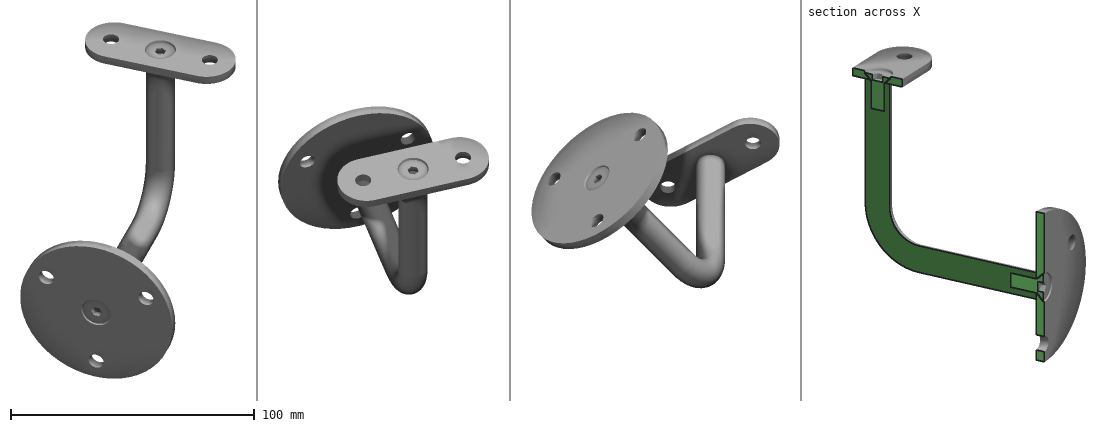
import cadquery as cq
import math


disc_thickness = 4.0
saddle_thickness = 3.7
disc_diameter = 66.0
saddle_length = 64.0
saddle_width = 24.0

overall_depth = 92.0
overall_height = 111.2
upright_y = overall_depth - saddle_width / 2
saddle_top_z = overall_height - disc_diameter / 2

rod_diameter = 12.0
bend_radius = 19.9

fixing_diameter = 6.6
disc_fixing_radius = 25.0
disc_fixing_count = 3
disc_first_angle = 30.0
saddle_fixing_offset = 21.5

countersink_diameter = 12.7
head_diameter = 12.0
shank_diameter = 6.0
screw_length = 16.0
hex_across_flats = 4.0
hex_depth = 2.5
disc_head_recess = 0.6
saddle_head_recess = 0.9
cone_height = (head_diameter - shank_diameter) / 2

disc_plane = cq.Plane(origin=(0, 0, 0), xDir=(1, 0, 0), normal=(0, -1, 0))
saddle_plane = cq.Plane(origin=(0, upright_y, saddle_top_z), xDir=(0, 1, 0), normal=(0, 0, 1))
screw_seats = [(disc_plane, disc_head_recess), (saddle_plane, saddle_head_recess)]


def make_screw_space(plane, head_recess):
    """Tapered recess, countersink and shank bore, from the plate's outer face down to the screw tip."""
    profile = (
        cq.Workplane("XZ")
        .lineTo(countersink_diameter / 2, 0)
        .lineTo(head_diameter / 2, -head_recess)
        .lineTo(shank_diameter / 2, -head_recess - cone_height)
        .lineTo(shank_diameter / 2, -screw_length)
        .lineTo(0, -screw_length)
        .close()
    )
    space = profile.revolve(360, (0, 0, 0), (0, 1, 0)).val()
    return cq.Workplane(obj=space.moved(cq.Location(plane)))


def make_screw(plane, head_recess):
    """Countersunk screw with a hexagon socket in its recessed head."""
    recess = cq.Workplane(plane).circle(countersink_diameter / 2).extrude(-head_recess)
    hex_across_corners = hex_across_flats / math.cos(math.radians(30))
    socket = (
        cq.Workplane(plane)
        .workplane(offset=-head_recess)
        .polygon(6, hex_across_corners)
        .extrude(-hex_depth)
    )
    return make_screw_space(plane, head_recess).cut(recess).cut(socket)


def make_wall_disc():
    """Round wall plate with a ring of fixing holes."""
    disc = cq.Workplane(disc_plane).circle(disc_diameter / 2).extrude(-disc_thickness)
    fixings = (
        cq.Workplane(disc_plane)
        .polarArray(disc_fixing_radius, disc_first_angle, 360, disc_fixing_count)
        .circle(fixing_diameter / 2)
        .extrude(-disc_thickness)
    )
    return disc.cut(fixings).cut(make_screw_space(disc_plane, disc_head_recess))


def make_saddle():
    """Round-ended plate with a fixing hole near each end."""
    saddle = (
        cq.Workplane(saddle_plane)
        .slot2D(saddle_length, saddle_width, 90)
        .extrude(-saddle_thickness)
    )
    fixings = (
        cq.Workplane(saddle_plane)
        .pushPoints([(0, -saddle_fixing_offset), (0, saddle_fixing_offset)])
        .circle(fixing_diameter / 2)
        .extrude(-saddle_thickness)
    )
    return saddle.cut(fixings).cut(make_screw_space(saddle_plane, saddle_head_recess))


def make_rod():
    """Round rod with one right-angle bend and a screw hole in each end."""
    bend_start_y = upright_y - bend_radius
    path = (
        cq.Workplane("YZ")
        .moveTo(disc_thickness, 0)
        .lineTo(bend_start_y, 0)
        .tangentArcPoint((upright_y, bend_radius), relative=False)
        .lineTo(upright_y, saddle_top_z - saddle_thickness)
    )
    rod = (
        cq.Workplane("XZ", origin=(0, disc_thickness, 0))
        .circle(rod_diameter / 2)
        .sweep(path)
    )
    for plane, head_recess in screw_seats:
        rod = rod.cut(make_screw_space(plane, head_recess))
    return rod


wall_disc = make_wall_disc()
saddle = make_saddle()
rod = make_rod()
screws = [make_screw(plane, head_recess).val() for plane, head_recess in screw_seats]

result = cq.Compound.makeCompound([wall_disc.val(), saddle.val(), rod.val(), *screws])